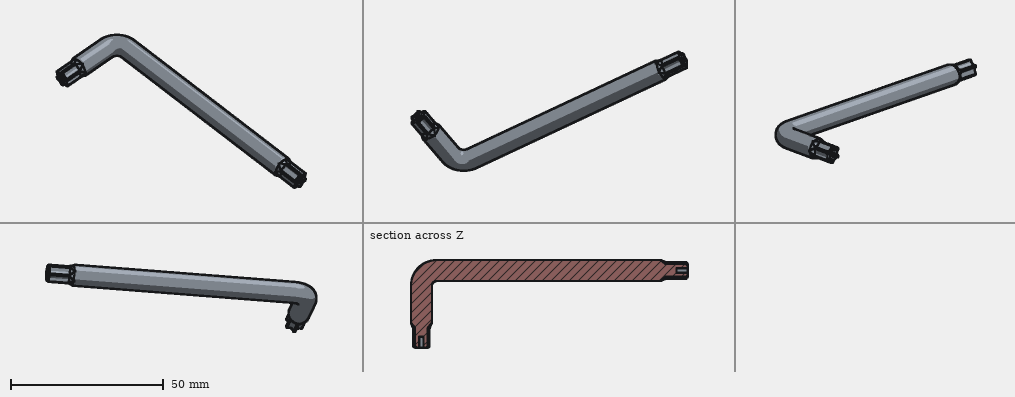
import cadquery as cq
import math

long_arm_length = 90.8
short_arm_length = 28.9
shaft_diameter = 7.0
bend_outer_radius = 8.5

long_head_length = 8.5
short_head_length = 7.8
shoulder_length = 0.7

lobe_count = 6
lobe_tip_diameter = 6.0
lobe_base_diameter = 6.45
lobe_taper_length = 1.1
lobe_root_diameter = 4.3
flute_radius = 1.5
flute_straight_start = 1.4
flute_point_length = 2.0

tip_chamfer_size = 0.5
pin_hole_diameter = 1.4
pin_hole_depth = 3.6

shaft_radius = shaft_diameter / 2
bend_radius = bend_outer_radius - shaft_radius
lobe_base_radius = lobe_base_diameter / 2
lobe_tip_radius = lobe_tip_diameter / 2
flute_axis_radius = lobe_root_diameter / 2 + flute_radius


def make_shaft():
    """Round bar swept along the bent centreline, up to the start of each head's rounding."""
    corner_to_long_end = long_arm_length - long_head_length - shoulder_length
    corner_to_short_end = short_arm_length - short_head_length - shoulder_length
    bend_centre = bend_outer_radius
    bend_middle_offset = bend_centre - bend_radius * math.sqrt(0.5)
    path = (
        cq.Workplane("XY")
        .moveTo(shaft_radius, -corner_to_short_end)
        .lineTo(shaft_radius, -bend_centre)
        .threePointArc(
            (bend_middle_offset, -bend_middle_offset),
            (bend_centre, -shaft_radius),
        )
        .lineTo(corner_to_long_end, -shaft_radius)
    )
    profile_plane = cq.Plane(
        origin=(shaft_radius, -corner_to_short_end, 0), xDir=(1, 0, 0), normal=(0, 1, 0)
    )
    return cq.Workplane(profile_plane).circle(shaft_radius).sweep(path)


def make_head_blank(head_length):
    """Turned head along +Z, from the rounded shoulder below Z = 0 to the chamfered tip."""
    shoulder_drop = shaft_radius - lobe_base_radius
    shoulder_arc_radius = (shoulder_length**2 + shoulder_drop**2) / (2 * shoulder_drop)
    return (
        cq.Workplane("XZ")
        .moveTo(0, -shoulder_length)
        .lineTo(shaft_radius, -shoulder_length)
        .radiusArc((lobe_base_radius, 0), -shoulder_arc_radius)
        .lineTo(lobe_tip_radius, lobe_taper_length)
        .lineTo(lobe_tip_radius, head_length - tip_chamfer_size)
        .lineTo(lobe_tip_radius - tip_chamfer_size, head_length)
        .lineTo(0, head_length)
        .close()
        .revolve(360, (0, 0, 0), (0, 1, 0))
    )


def make_flute_cutter(head_length):
    """Round cutter: its pointed end slopes the run-out, its flared end chamfers the tip edge."""
    return (
        cq.Workplane("XZ")
        .moveTo(0, flute_straight_start - flute_point_length)
        .lineTo(flute_radius, flute_straight_start)
        .lineTo(flute_radius, head_length - tip_chamfer_size)
        .lineTo(flute_radius + tip_chamfer_size, head_length)
        .lineTo(0, head_length)
        .close()
        .revolve(360, (0, 0, 0), (0, 1, 0))
        .translate((flute_axis_radius, 0, 0))
    )


def make_head(head_length):
    """Six-lobed head along +Z with flutes facing +X and a central pin hole."""
    head = make_head_blank(head_length)
    cutter = make_flute_cutter(head_length)
    for index in range(lobe_count):
        head = head.cut(cutter.rotate((0, 0, 0), (0, 0, 1), index * 360 / lobe_count))
    pin_hole = (
        cq.Workplane("XY", origin=(0, 0, head_length - pin_hole_depth))
        .circle(pin_hole_diameter / 2)
        .extrude(pin_hole_depth)
    )
    return head.cut(pin_hole)


long_head = (
    make_head(long_head_length)
    .rotate((0, 0, 0), (0, 1, 0), 90)
    .rotate((0, 0, 0), (1, 0, 0), 90)
    .translate((long_arm_length - long_head_length, -shaft_radius, 0))
)
short_head = (
    make_head(short_head_length)
    .rotate((0, 0, 0), (1, 0, 0), 90)
    .translate((shaft_radius, short_head_length - short_arm_length, 0))
)

result = make_shaft().union(long_head).union(short_head)